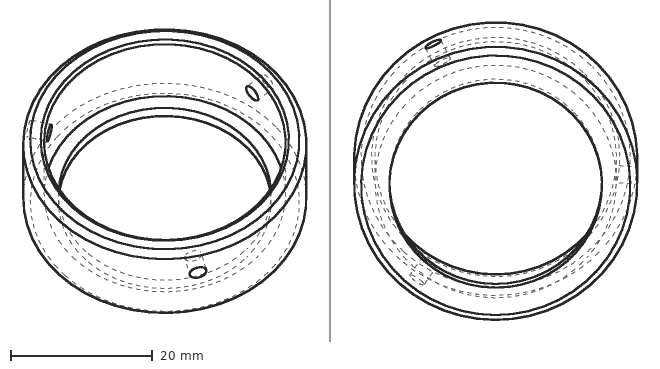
import cadquery as cq

outer_diameter = 40.0
height = 15.0
edge_chamfer = 1.0

bore_diameter = 34.1
lip_diameter = 30.0
lip_thickness = 2.0
bore_mouth_chamfer = 0.5

hole_diameter = 2.45
hole_count = 3
first_hole_angle = 90.0
hole_height = height - 5.0


def ring_body():
    """Outer cylinder with both rims chamfered."""
    body = cq.Workplane("XY").circle(outer_diameter / 2).extrude(height)
    return body.faces("<Z or >Z").edges().chamfer(edge_chamfer)


def stepped_bore():
    """Material removed from the middle, with a flared mouth at the top."""
    lip_opening = cq.Workplane("XY").circle(lip_diameter / 2).extrude(height)
    wide_bore = (
        cq.Workplane("XY")
        .workplane(offset=lip_thickness)
        .circle(bore_diameter / 2)
        .extrude(height - lip_thickness)
    )
    mouth = cq.Workplane("XY").add(
        cq.Solid.makeCone(
            bore_diameter / 2,
            bore_diameter / 2 + bore_mouth_chamfer,
            bore_mouth_chamfer,
            pnt=cq.Vector(0, 0, height - bore_mouth_chamfer),
        )
    )
    return lip_opening.union(wide_bore).union(mouth)


def radial_hole(angle):
    """Cylinder running from the axis out through the wall at the given angle."""
    return (
        cq.Workplane("YZ")
        .center(0, hole_height)
        .circle(hole_diameter / 2)
        .extrude(outer_diameter)
        .rotate((0, 0, 0), (0, 0, 1), angle)
    )


result = ring_body().cut(stepped_bore())
for index in range(hole_count):
    result = result.cut(radial_hole(first_hole_angle + index * 360 / hole_count))